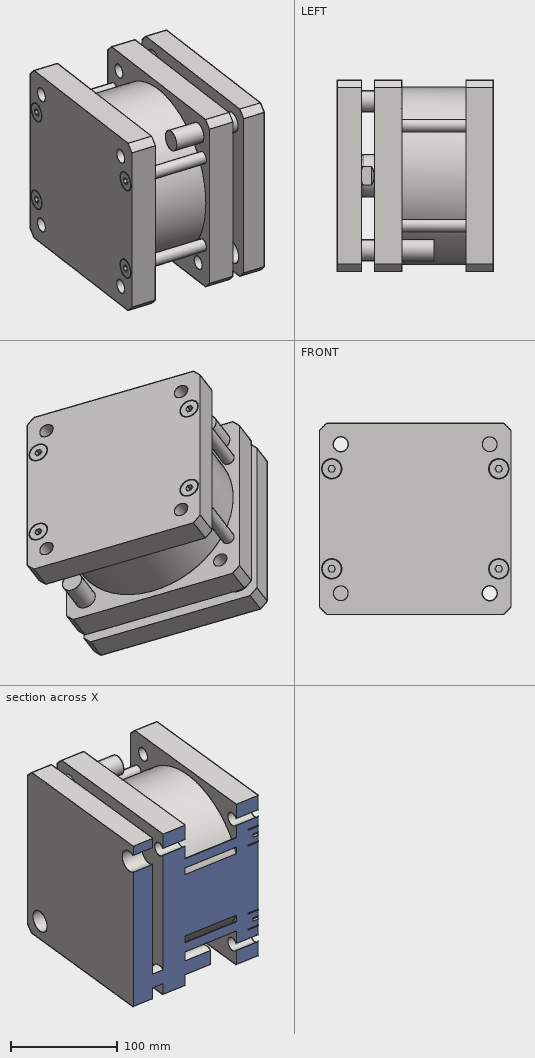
import cadquery as cq
import math


PLATE_SIZE = 180.0
PLATE_CORNER = 7.0
PLATE_ROUNDING_DIAMETER = 2 * math.hypot(PLATE_SIZE / 2, PLATE_SIZE / 2 - PLATE_CORNER)
COVER_THICKNESS = 26.0
TOOL_PLATE_THICKNESS = 23.0

BARREL_DIAMETER = 167.0
BARREL_LENGTH = 60.0
GAP = 12.0

FRONT_COVER_Y = 0.0
BARREL_Y = FRONT_COVER_Y + COVER_THICKNESS
REAR_COVER_Y = BARREL_Y + BARREL_LENGTH
GAP_Y = REAR_COVER_Y + COVER_THICKNESS
TOOL_PLATE_Y = GAP_Y + GAP

CORNER_OFFSET = 70.0
CORNER_HOLE_DIAMETER = 13.84
TOOL_PLATE_HOLE_DIAMETER = 22.0
GUIDE_ROD_DIAMETER = 20.0
GUIDE_ROD_PROTRUSION = 30.0

TIE_ROD_X = 78.5
TIE_ROD_Z = 47.0
TIE_ROD_DIAMETER = 12.0
COUNTERBORE_DIAMETER = 19.0
SCREW_HEAD_DIAMETER = 18.0
SCREW_HEAD_HEIGHT = 12.0
SOCKET_ACROSS_FLATS = 6.0
SOCKET_DEPTH = 6.0
SOCKET_SIDES = 6
SOCKET_ACROSS_CORNERS = SOCKET_ACROSS_FLATS / math.cos(math.pi / SOCKET_SIDES)

PISTON_ROD_DIAMETER = 40.0
PISTON_ROD_FLATS = 36.0
PISTON_ROD_END_RADIUS = 2.0
FLAT_RUNOUT_LENGTH = 2.5

GUIDE_ROD_POINTS = [(CORNER_OFFSET, CORNER_OFFSET), (-CORNER_OFFSET, -CORNER_OFFSET)]
OPEN_HOLE_POINTS = [(-CORNER_OFFSET, CORNER_OFFSET), (CORNER_OFFSET, -CORNER_OFFSET)]
TIE_ROD_POINTS = [(x, z) for x in (-TIE_ROD_X, TIE_ROD_X) for z in (-TIE_ROD_Z, TIE_ROD_Z)]


def plane_at(y):
    """Workplane at the given Y, local axes X and Z; positive extrusion runs toward -Y."""
    return cq.Workplane("XZ", origin=(0, y, 0))


def cylinders(points, diameter, y, length):
    """One cylinder per (x, z) point, running from y toward +Y."""
    return plane_at(y).pushPoints(points).circle(diameter / 2).extrude(-length)


def plate(y, thickness):
    """Square plate with corners turned to a circle about the axis, running from y toward +Y."""
    square = plane_at(y).rect(PLATE_SIZE, PLATE_SIZE).extrude(-thickness)
    return square.intersect(cylinders([(0, 0)], PLATE_ROUNDING_DIAMETER, y, thickness))


def front_cover():
    """Front plate with four corner holes and four recessed screw heads."""
    holes = cylinders(
        GUIDE_ROD_POINTS + OPEN_HOLE_POINTS, CORNER_HOLE_DIAMETER, FRONT_COVER_Y, COVER_THICKNESS
    )
    recesses = cylinders(TIE_ROD_POINTS, COUNTERBORE_DIAMETER, FRONT_COVER_Y, SCREW_HEAD_HEIGHT)
    heads = cylinders(TIE_ROD_POINTS, SCREW_HEAD_DIAMETER, FRONT_COVER_Y, SCREW_HEAD_HEIGHT)
    sockets = (
        plane_at(FRONT_COVER_Y)
        .pushPoints(TIE_ROD_POINTS)
        .polygon(SOCKET_SIDES, SOCKET_ACROSS_CORNERS)
        .extrude(-SOCKET_DEPTH)
    )
    cover = plate(FRONT_COVER_Y, COVER_THICKNESS)
    return cover.cut(holes).cut(recesses).union(heads).cut(sockets)


def rear_cover():
    """Plate behind the barrel, with the two corner holes that carry no guide rod."""
    holes = cylinders(OPEN_HOLE_POINTS, CORNER_HOLE_DIAMETER, REAR_COVER_Y, COVER_THICKNESS)
    return plate(REAR_COVER_Y, COVER_THICKNESS).cut(holes)


def tool_plate():
    """Moving plate, with two clearance holes in line with the cover holes."""
    holes = cylinders(
        OPEN_HOLE_POINTS, TOOL_PLATE_HOLE_DIAMETER, TOOL_PLATE_Y, TOOL_PLATE_THICKNESS
    )
    return plate(TOOL_PLATE_Y, TOOL_PLATE_THICKNESS).cut(holes)


def guide_rods():
    """Two diagonal rods from the tool plate through the rear cover."""
    start = REAR_COVER_Y - GUIDE_ROD_PROTRUSION
    return cylinders(GUIDE_ROD_POINTS, GUIDE_ROD_DIAMETER, start, TOOL_PLATE_Y - start)


def piston_rod():
    """Rod across the gap: rounded end at the tool plate and two flats with sloping run-outs."""
    radius = PISTON_ROD_DIAMETER / 2
    flat_x = PISTON_ROD_FLATS / 2
    profile = (
        cq.Workplane("XY")
        .moveTo(0, GAP_Y)
        .lineTo(radius, GAP_Y)
        .lineTo(radius, TOOL_PLATE_Y - PISTON_ROD_END_RADIUS)
        .radiusArc((radius - PISTON_ROD_END_RADIUS, TOOL_PLATE_Y), -PISTON_ROD_END_RADIUS)
        .lineTo(0, TOOL_PLATE_Y)
        .close()
    )
    rod = profile.revolve(360, (0, 0, 0), (0, 1, 0))
    envelope = (
        cq.Workplane("XY")
        .moveTo(-radius, GAP_Y)
        .lineTo(radius, GAP_Y)
        .lineTo(flat_x, GAP_Y + FLAT_RUNOUT_LENGTH)
        .lineTo(flat_x, TOOL_PLATE_Y)
        .lineTo(-flat_x, TOOL_PLATE_Y)
        .lineTo(-flat_x, GAP_Y + FLAT_RUNOUT_LENGTH)
        .close()
        .extrude(PISTON_ROD_DIAMETER, both=True)
    )
    return rod.intersect(envelope)


barrel = cylinders([(0, 0)], BARREL_DIAMETER, BARREL_Y, BARREL_LENGTH)
tie_rods = cylinders(TIE_ROD_POINTS, TIE_ROD_DIAMETER, BARREL_Y, BARREL_LENGTH)

result = front_cover()
for component in (barrel, tie_rods, rear_cover(), guide_rods(), piston_rod(), tool_plate()):
    result = result.union(component)